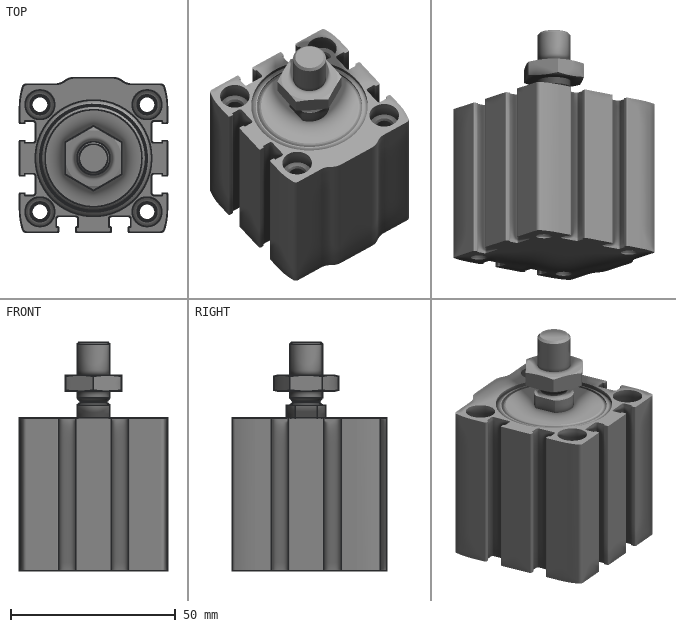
import cadquery as cq
import math


TOTAL_HEIGHT = 69.5
HOUSING_WIDTH = 45.0
HOUSING_DEPTH = 47.0
HOUSING_HEIGHT = 46.5

SIDE_FLAT_HALF = 15.5
CORNER_INSET = 1.25
CORNER_RADIUS = 1.2
BUMP_FLAT_HALF = 5.7
BUMP_RUN = 6.05

SLOT_OFFSET = 8.0
SLOT_MOUTH = 5.2
SLOT_WIDTH = 6.5
SLOT_LIP = 1.7
SLOT_DEPTH = 4.8
SLOT_FLOOR_RADIUS = 0.6
LIP_RADIUS = 0.4

HOLE_OFFSET = 16.25
HOLE_DIAMETER = 4.9
COUNTERBORE_DIAMETER = 9.0
COUNTERBORE_DEPTH = 5.0
COUNTERSINK_DIAMETER = 6.0

RECESS_DIAMETER = 35.4
BORE_DIAMETER = 32.0
RING_CREST_RADIUS = 16.3
RING_CREST_DEPTH = 0.4
RING_ANGLE = 30.0
GROOVE_DEPTH = 1.05
COVER_RADIUS = 15.85
COVER_BEVEL_RADIUS = 15.15
COVER_BEVEL_HEIGHT = 0.55
COVER_FACE_RADIUS = 14.7
COVER_DEPTH = 0.3

ROD_DIAMETER = 12.0
ROD_FLATS = 10.0
ROD_INSERTION = 12.0
ROD_SHOULDER_Z = 50.3
NECK_DIAMETER = 8.1
NECK_FLARE = 0.7
NECK_LENGTH = 0.5
THREAD_DIAMETER = 10.0
THREAD_START_Z = 52.6
THREAD_CHAMFER = 0.7

NUT_SIDES = 6
NUT_ACROSS_FLATS = 17.0
NUT_HEIGHT = 4.85
NUT_BASE_Z = 54.55
NUT_CHAMFER_ANGLE = 15.0

HALF_WIDTH = HOUSING_WIDTH / 2
BUMP_HEIGHT = HOUSING_DEPTH - HOUSING_WIDTH
CORNER_X = HALF_WIDTH - CORNER_INSET
COVER_Z = HOUSING_HEIGHT - COVER_DEPTH


def housing_outline():
    """Closed outline of the extruded housing, before its corners are rounded and its slots cut."""
    bump_top = HALF_WIDTH + BUMP_HEIGHT
    bump_foot_half = BUMP_FLAT_HALF + BUMP_RUN
    flank_x = BUMP_FLAT_HALF + BUMP_RUN / 2
    flank_y = HALF_WIDTH + BUMP_HEIGHT / 2
    return (
        cq.Workplane("XY")
        .moveTo(-CORNER_X, -HALF_WIDTH)
        .lineTo(CORNER_X, -HALF_WIDTH)
        .threePointArc(side_arc_middle(1, -1), (HALF_WIDTH, -SIDE_FLAT_HALF))
        .lineTo(HALF_WIDTH, SIDE_FLAT_HALF)
        .threePointArc(side_arc_middle(1, 1), (CORNER_X, HALF_WIDTH))
        .lineTo(bump_foot_half, HALF_WIDTH)
        .tangentArcPoint((flank_x, flank_y), relative=False)
        .tangentArcPoint((BUMP_FLAT_HALF, bump_top), relative=False)
        .lineTo(-BUMP_FLAT_HALF, bump_top)
        .tangentArcPoint((-flank_x, flank_y), relative=False)
        .tangentArcPoint((-bump_foot_half, HALF_WIDTH), relative=False)
        .lineTo(-CORNER_X, HALF_WIDTH)
        .threePointArc(side_arc_middle(-1, 1), (-HALF_WIDTH, SIDE_FLAT_HALF))
        .lineTo(-HALF_WIDTH, -SIDE_FLAT_HALF)
        .threePointArc(side_arc_middle(-1, -1), (-CORNER_X, -HALF_WIDTH))
        .close()
    )


def side_arc_middle(x_sign, y_sign):
    """Middle point of the curved side end, tangent to the straight side, in the signed quadrant."""
    end_length = HALF_WIDTH - SIDE_FLAT_HALF
    radius = (end_length**2 + CORNER_INSET**2) / (2 * CORNER_INSET)
    half_angle = math.asin(end_length / radius) / 2
    x = HALF_WIDTH - radius * (1 - math.cos(half_angle))
    y = SIDE_FLAT_HALF + radius * math.sin(half_angle)
    return (x_sign * x, y_sign * y)


def make_slot():
    """T-shaped cutter for one slot in the -Y side, centred on X = 0."""
    floor_y = -HALF_WIDTH + SLOT_DEPTH
    lip_y = -HALF_WIDTH + SLOT_LIP
    mouth_outer_y = -HALF_WIDTH + LIP_RADIUS
    mouth_inner_y = lip_y - LIP_RADIUS
    half_mouth = SLOT_MOUTH / 2
    half_opening = half_mouth + LIP_RADIUS
    chamber = (
        cq.Workplane("XY")
        .center(0, (floor_y + lip_y) / 2)
        .rect(SLOT_WIDTH, floor_y - lip_y)
        .extrude(HOUSING_HEIGHT)
        .edges("|Z and >Y")
        .fillet(SLOT_FLOOR_RADIUS)
    )
    mouth = (
        cq.Workplane("XY")
        .moveTo(half_opening, lip_y)
        .radiusArc((half_mouth, mouth_inner_y), -LIP_RADIUS)
        .lineTo(half_mouth, mouth_outer_y)
        .radiusArc((half_opening, -HALF_WIDTH), -LIP_RADIUS)
        .lineTo(-half_opening, -HALF_WIDTH)
        .radiusArc((-half_mouth, mouth_outer_y), -LIP_RADIUS)
        .lineTo(-half_mouth, mouth_inner_y)
        .radiusArc((-half_opening, lip_y), -LIP_RADIUS)
        .close()
        .extrude(HOUSING_HEIGHT)
    )
    return chamber.union(mouth)


def make_mounting_hole():
    """Cutter for a through hole with a counterbore and a countersink at its floor, on the Z axis."""
    floor_z = HOUSING_HEIGHT - COUNTERBORE_DEPTH
    hole_radius = HOLE_DIAMETER / 2
    sink_radius = COUNTERSINK_DIAMETER / 2
    bore_radius = COUNTERBORE_DIAMETER / 2
    profile = [
        (0, 0),
        (hole_radius, 0),
        (hole_radius, floor_z - (sink_radius - hole_radius)),
        (sink_radius, floor_z),
        (bore_radius, floor_z),
        (bore_radius, HOUSING_HEIGHT),
        (0, HOUSING_HEIGHT),
    ]
    return revolve_profile(profile)


def make_cover_recess():
    """Cutter for the stepped recess that leaves the sloping ring, the groove and the cover face."""
    recess_radius = RECESS_DIAMETER / 2
    bore_radius = BORE_DIAMETER / 2
    crest_z = HOUSING_HEIGHT - RING_CREST_DEPTH
    ring_drop = (recess_radius - RING_CREST_RADIUS) * math.tan(math.radians(RING_ANGLE))
    groove_z = HOUSING_HEIGHT - GROOVE_DEPTH
    profile = [
        (0, HOUSING_HEIGHT),
        (recess_radius, HOUSING_HEIGHT),
        (recess_radius, crest_z - ring_drop),
        (RING_CREST_RADIUS, crest_z),
        (bore_radius, crest_z),
        (bore_radius, groove_z),
        (COVER_RADIUS, groove_z),
        (COVER_BEVEL_RADIUS, groove_z + COVER_BEVEL_HEIGHT),
        (COVER_FACE_RADIUS, COVER_Z),
        (0, COVER_Z),
    ]
    return revolve_profile(profile)


def revolve_profile(profile):
    """Solid of revolution about Z from (radius, z) points."""
    return cq.Workplane("XZ").polyline(profile).close().revolve(360, (0, 0), (0, 1))


def make_housing():
    body = housing_outline().extrude(HOUSING_HEIGHT)
    for x in (-CORNER_X, CORNER_X):
        for y in (-HALF_WIDTH, HALF_WIDTH):
            corner = cq.selectors.NearestToPointSelector((x, y, HOUSING_HEIGHT / 2))
            body = body.edges("|Z").edges(corner).fillet(CORNER_RADIUS)

    slot = make_slot()
    for side_angle in (0, 90, -90):
        for offset in (-SLOT_OFFSET, SLOT_OFFSET):
            body = body.cut(slot.translate((offset, 0, 0)).rotate((0, 0, 0), (0, 0, 1), side_angle))

    hole = make_mounting_hole()
    for x in (-HOLE_OFFSET, HOLE_OFFSET):
        for y in (-HOLE_OFFSET, HOLE_OFFSET):
            body = body.cut(hole.translate((x, y, 0)))

    rod_seat = (
        cq.Workplane("XY", origin=(0, 0, COVER_Z - ROD_INSERTION))
        .circle(ROD_DIAMETER / 2)
        .extrude(ROD_INSERTION)
    )
    return body.cut(make_cover_recess()).cut(rod_seat)


def make_rod():
    rod_radius = ROD_DIAMETER / 2
    neck_radius = NECK_DIAMETER / 2
    thread_radius = THREAD_DIAMETER / 2
    neck_bottom_z = ROD_SHOULDER_Z + NECK_FLARE
    profile = [
        (0, COVER_Z - ROD_INSERTION),
        (rod_radius, COVER_Z - ROD_INSERTION),
        (rod_radius, ROD_SHOULDER_Z),
        (thread_radius, ROD_SHOULDER_Z),
        (neck_radius, neck_bottom_z),
        (neck_radius, neck_bottom_z + NECK_LENGTH),
        (thread_radius, THREAD_START_Z),
        (thread_radius, TOTAL_HEIGHT - THREAD_CHAMFER),
        (thread_radius - THREAD_CHAMFER, TOTAL_HEIGHT),
        (0, TOTAL_HEIGHT),
    ]
    rod = revolve_profile(profile)

    flat_height = ROD_SHOULDER_Z - COVER_Z
    for side in (-1, 1):
        flat_cutter = (
            cq.Workplane("XY", origin=(side * (ROD_FLATS + ROD_DIAMETER) / 2, 0, COVER_Z))
            .rect(ROD_DIAMETER, ROD_DIAMETER)
            .extrude(flat_height)
        )
        rod = rod.cut(flat_cutter)
    return rod


def make_nut():
    """Hexagon nut with flats facing +X and -X, its corners chamfered at both ends."""
    half_sector = 180 / NUT_SIDES
    face_radius = NUT_ACROSS_FLATS / 2
    corner_radius = face_radius / math.cos(math.radians(half_sector))
    corner_drop = (corner_radius - face_radius) * math.tan(math.radians(NUT_CHAMFER_ANGLE))
    top_z = NUT_BASE_Z + NUT_HEIGHT
    hexagon = (
        cq.Workplane("XY", origin=(0, 0, NUT_BASE_Z))
        .polygon(NUT_SIDES, 2 * corner_radius)
        .extrude(NUT_HEIGHT)
        .rotate((0, 0, 0), (0, 0, 1), half_sector)
    )
    chamfer_envelope = revolve_profile([
        (0, NUT_BASE_Z),
        (face_radius, NUT_BASE_Z),
        (corner_radius, NUT_BASE_Z + corner_drop),
        (corner_radius, top_z - corner_drop),
        (face_radius, top_z),
        (0, top_z),
    ])
    thread_hole = (
        cq.Workplane("XY", origin=(0, 0, NUT_BASE_Z))
        .circle(THREAD_DIAMETER / 2)
        .extrude(NUT_HEIGHT)
    )
    return hexagon.intersect(chamfer_envelope).cut(thread_hole)


housing = make_housing()
rod = make_rod()
nut = make_nut()
result = cq.Compound.makeCompound([housing.val(), rod.val(), nut.val()])